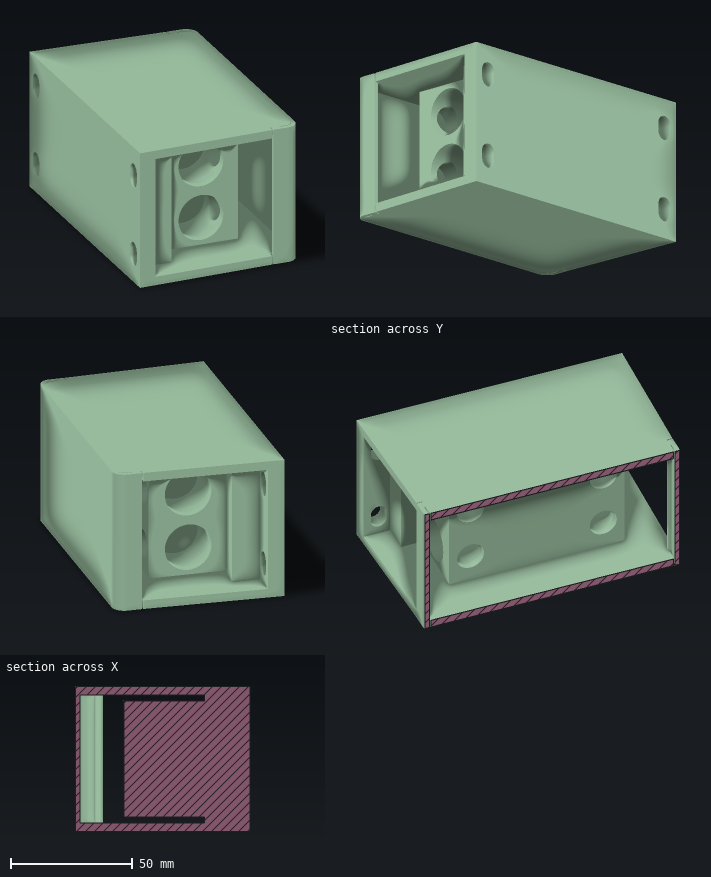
import cadquery as cq

WIDTH = 118.0
DEPTH = 72.0
HEIGHT = 60.0

COVER_WIDTH = 113.8
COVER_THICKNESS = 2.0
COVER_CORNER_RADIUS = 5.3
COVER_GAP = 0.5
SHOULDER_Y = 60.0
COVER_FRONT_Y = SHOULDER_Y + COVER_GAP
COVER_INNER_WIDTH = COVER_WIDTH - 2 * COVER_THICKNESS
COVER_INNER_RADIUS = COVER_CORNER_RADIUS - COVER_THICKNESS
COVER_INNER_Y = DEPTH - COVER_THICKNESS

RIM_THICKNESS = 3.0
RIM_RADIUS = 1.5
RIM_LENGTH = 3.6

FRONT_WALL = 7.0
PLATE_THICKNESS = 3.75
INNER_HEIGHT = HEIGHT - 2 * PLATE_THICKNESS
TONGUE_WIDTH = COVER_INNER_WIDTH - 2 * COVER_GAP

SLOT_WIDTH = 7.0
SLOT_LENGTH = 10.4
SLOT_SPACING_X = 104.0
SLOT_SPACING_Z = 35.0

PEDESTAL_WIDTH = 94.0
PEDESTAL_END_Y = 19.0
BLOCK_WIDTH = 78.0
BLOCK_HEIGHT = 48.0
BLOCK_END_Y = 52.0

BORE_DIAMETER = 20.0
BORE_DEPTH = 20.0
BORE_Y = 35.5
BORE_SPACING_Z = 24.0
CROSS_HOLE_DIAMETER = 12.0
CROSS_HOLE_INSET = 9.5


def centered_box(width, y_start, y_end, height):
    """Box centred on X and Z that runs from y_start to y_end."""
    box = cq.Workplane("XY").box(width, y_end - y_start, height)
    return box.translate((0, (y_start + y_end) / 2, 0))


def make_housing():
    """Front wall and plates, tapered to the shoulder, with a tongue that enters the cover."""
    tapered = (
        cq.Workplane("XY")
        .workplane(offset=-HEIGHT / 2)
        .polyline([
            (-WIDTH / 2, 0),
            (WIDTH / 2, 0),
            (COVER_WIDTH / 2, SHOULDER_Y),
            (-COVER_WIDTH / 2, SHOULDER_Y),
        ])
        .close()
        .extrude(HEIGHT)
    )
    tongue = centered_box(TONGUE_WIDTH, FRONT_WALL, COVER_INNER_Y, HEIGHT)
    tongue = tongue.edges("|Z and >Y").fillet(COVER_INNER_RADIUS)
    cavity = centered_box(WIDTH, FRONT_WALL, DEPTH, INNER_HEIGHT)
    return tapered.union(tongue).cut(cavity)


def make_cover():
    """U-shaped sheet with rounded corners and a thickened, rounded rim along each side."""
    outer = centered_box(COVER_WIDTH, COVER_FRONT_Y, DEPTH, HEIGHT)
    outer = outer.edges("|Z and >Y").fillet(COVER_CORNER_RADIUS)
    inner = centered_box(COVER_INNER_WIDTH, COVER_FRONT_Y, COVER_INNER_Y, HEIGHT)
    inner = inner.edges("|Z and >Y").fillet(COVER_INNER_RADIUS)
    rim_end_y = COVER_FRONT_Y + RIM_LENGTH
    sheet = outer.cut(inner).cut(centered_box(WIDTH, COVER_FRONT_Y, rim_end_y, HEIGHT))
    rim = cq.Workplane("XY").box(RIM_THICKNESS, RIM_LENGTH, HEIGHT)
    rim = rim.edges("|Z and >X").fillet(RIM_RADIUS)
    rim = rim.translate(((RIM_THICKNESS - COVER_WIDTH) / 2, COVER_FRONT_Y + RIM_LENGTH / 2, 0))
    return sheet.union(rim).union(rim.mirror("YZ"))


def make_slots():
    """Cutters for the four slots through the front wall."""
    return (
        cq.Workplane("XZ")
        .rarray(SLOT_SPACING_X, SLOT_SPACING_Z, 2, 2)
        .slot2D(SLOT_LENGTH, SLOT_WIDTH, 90)
        .extrude(-FRONT_WALL)
    )


def make_block():
    """Pedestal and block with blind end bores and the cross holes that open into them."""
    pedestal = centered_box(PEDESTAL_WIDTH, FRONT_WALL, PEDESTAL_END_Y, INNER_HEIGHT)
    block = centered_box(BLOCK_WIDTH, PEDESTAL_END_Y, BLOCK_END_Y, BLOCK_HEIGHT)
    bore_points = [(BORE_Y, -BORE_SPACING_Z / 2), (BORE_Y, BORE_SPACING_Z / 2)]
    for side in (-1, 1):
        bores = (
            cq.Workplane("YZ")
            .workplane(offset=side * BLOCK_WIDTH / 2)
            .pushPoints(bore_points)
            .circle(BORE_DIAMETER / 2)
            .extrude(-side * BORE_DEPTH)
        )
        block = block.cut(bores)
    cross_holes = (
        cq.Workplane("XZ", origin=(0, BORE_Y, 0))
        .rarray(BLOCK_WIDTH - 2 * CROSS_HOLE_INSET, BORE_SPACING_Z, 2, 2)
        .circle(CROSS_HOLE_DIAMETER / 2)
        .extrude(BORE_Y - BLOCK_END_Y)
    )
    return pedestal.union(block.cut(cross_holes))


result = make_housing().union(make_cover()).cut(make_slots()).union(make_block())